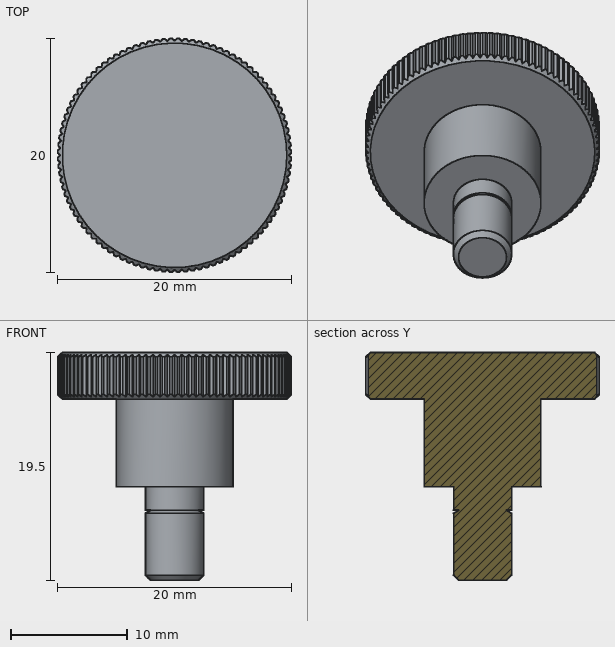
import cadquery as cq
import math

head_diameter = 20.0
head_height = 4.0
head_chamfer = 0.4
knurl_count = 100
knurl_depth = 0.21
knurl_angle = 90.0

collar_diameter = 10.0
collar_height = 7.5

stud_diameter = 5.0
stud_length = 8.0
stud_tip_chamfer = 0.45

groove_offset = 2.0
groove_depth = 0.45
groove_wall_slope = 30.0
groove_width = groove_depth * math.tan(math.radians(groove_wall_slope))

collar_bottom = stud_length
head_bottom = collar_bottom + collar_height
head_top = head_bottom + head_height
groove_top = collar_bottom - groove_offset


def polar_point(radius, angle):
    return (radius * math.cos(angle), radius * math.sin(angle))


def make_turned_body():
    """Head, collar and stud revolved about Z from one half section."""
    head_radius = head_diameter / 2
    collar_radius = collar_diameter / 2
    stud_radius = stud_diameter / 2
    half_section = [
        (0, 0),
        (stud_radius - stud_tip_chamfer, 0),
        (stud_radius, stud_tip_chamfer),
        (stud_radius, groove_top - groove_width),
        (stud_radius - groove_depth, groove_top),
        (stud_radius, groove_top),
        (stud_radius, collar_bottom),
        (collar_radius, collar_bottom),
        (collar_radius, head_bottom),
        (head_radius - head_chamfer, head_bottom),
        (head_radius, head_bottom + head_chamfer),
        (head_radius, head_top - head_chamfer),
        (head_radius - head_chamfer, head_top),
        (0, head_top),
    ]
    profile = cq.Workplane("XZ").polyline(half_section).close()
    return profile.revolve(360, (0, 0, 0), (0, 1, 0))


def make_knurl_envelope():
    """Toothed prism: flat-crested teeth parted by V grooves, one groove on the X axis."""
    crest_radius = head_diameter / 2
    root_radius = crest_radius - knurl_depth
    pitch_angle = 2 * math.pi / knurl_count
    half_groove_width = knurl_depth * math.tan(math.radians(knurl_angle / 2))
    half_groove_angle = math.asin(half_groove_width / crest_radius)

    outline = cq.Workplane("XY").workplane(offset=head_bottom)
    outline = outline.moveTo(root_radius, 0)
    for tooth in range(knurl_count):
        root_angle = tooth * pitch_angle
        next_root_angle = root_angle + pitch_angle
        outline = outline.lineTo(*polar_point(crest_radius, root_angle + half_groove_angle))
        outline = outline.threePointArc(
            polar_point(crest_radius, root_angle + pitch_angle / 2),
            polar_point(crest_radius, next_root_angle - half_groove_angle),
        )
        if tooth < knurl_count - 1:
            outline = outline.lineTo(*polar_point(root_radius, next_root_angle))
    return outline.close().extrude(head_height)


def make_knurled_screw():
    body = make_turned_body()
    shank_zone = cq.Workplane("XY").circle(head_diameter / 2).extrude(head_bottom)
    head = body.cut(shank_zone).intersect(make_knurl_envelope())
    shank = body.intersect(shank_zone)
    return shank.union(head)


result = make_knurled_screw()